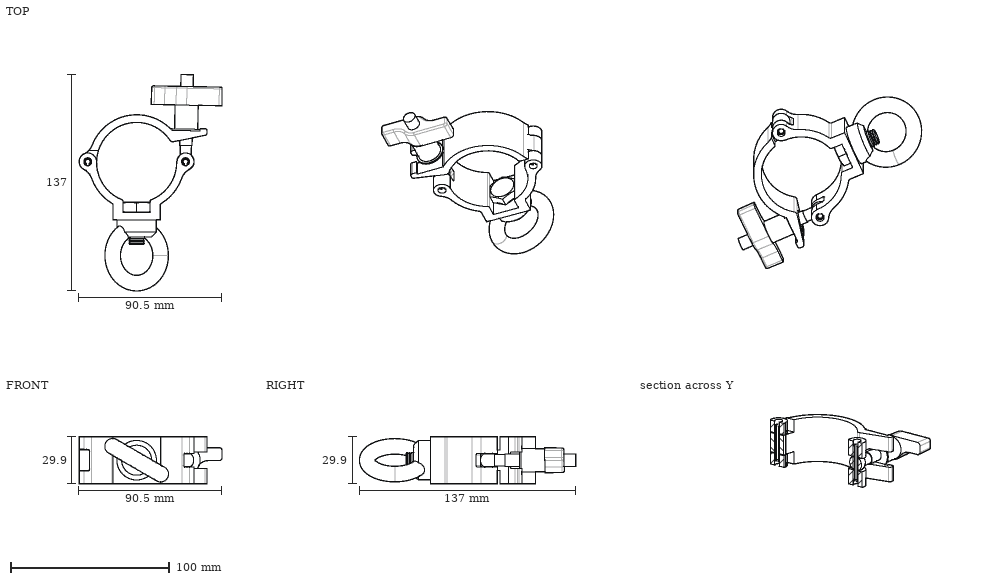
import cadquery as cq
import math


WIDTH = 29.9
BORE_Y = -0.5
BORE_R = 25.25
RING_R = 30.25
PIVOT_X = 30.9
EYE_R = 5.5
BLEND_R = 10.0
PIN_R = 2.5

BLOCK_HALF = WIDTH / 2
BLOCK_Y = -36.8
BLOCK_FILLET = 1.5
NOTCH_HALF = 8.5
NOTCH_FLOOR_Y = -32.1
NOTCH_FILLET = 1.2
SLOT_R = 8.0
SLOT_FILLET = 1.2
HINGE_SLOT_WIDTH = 13.6
LATCH_SLOT_WIDTH = 8.8

KNUCKLE_WIDTH = 13.2
KNUCKLE_TOP_Y = 7.1
TAIL_END_X = 44.6
TAIL_TOP_Y = 20.9
TAIL_END_HEIGHT = 4.05
TAIL_SLOPE = 11.3
TAIL_ROOT_FILLET = 2.2
TAIL_FILLET = 1.6
TAIL_SLOT_WIDTH = 10.3

SWING_TILT = 1.1
THREAD_R = 4.0
SHANK_R = 3.6
SHANK_END_Y = 10.3
SWING_BOLT_END_Y = 55.1
BALL_R = 5.2
BALL_WIDTH = 8.0
SEAT_Y = 19.6
WASHER_R = 8.9
WASHER_THICKNESS = 1.0
HUB_R = 7.4
WING_Y = 35.7
WING_HEIGHT = 11.9
WING_HALF_LENGTH = 22.5
WING_MID_R = 8.0
WING_EDGE_OFFSET = 0.3
WING_BLEND_R = 8.5
WING_CORNER_R = 2.0
WING_TOP_FILLET = 1.2
WING_DRAFT = 1.0

COLLAR_R = 12.5
COLLAR_LENGTH = 7.7
CONE_LENGTH = 3.0
LOOP_R = 17.5
LOOP_BAR_R = 5.0
LOOP_TILT = 30.0
BOLT_R = 5.0
BOLT_END_Y = -52.4
HEAD_TOP_Y = -25.5
HEAD_CHAMFER_DROP = 0.7
HEAD_FACE_R = 8.0
HEAD_FACE_HEIGHT = 0.4
THREAD_PITCH = 1.5
THREAD_DEPTH = 0.8

PIN_LENGTH = 24.0
PIN_WALL = 1.0
PIN_GAP = 1.6
PIN_CHAMFER = 0.4


def slab(width):
    """XY workplane placed so that extruding by width is centred on Z = 0."""
    return cq.Workplane("XY").workplane(offset=-width / 2)


def box(x0, x1, y0, y1, width):
    return slab(width).center((x0 + x1) / 2, (y0 + y1) / 2).rect(x1 - x0, y1 - y0).extrude(width)


def disc(x, y, radius, width):
    return slab(width).center(x, y).circle(radius).extrude(width)


def rod(x, y0, y1, radius):
    """Cylinder along Y at the given X."""
    return cq.Workplane("XZ", origin=(x, y0, 0)).circle(radius).extrude(y0 - y1)


def round_corner(body, x, y, radius):
    """Fillet the edge along Z that stands at the given point."""
    corner = cq.selectors.NearestToPointSelector((x, y, 0))
    return body.edges("|Z").edges(corner).fillet(radius)


def swing(body):
    """Tilt a latch part about the latch pin."""
    return body.rotate((PIVOT_X, 0, 0), (PIVOT_X, 0, 1), -SWING_TILT)


def boss_blend(x_side, y_side):
    """Web between a pin boss and the ring, with a hollow tangent to both on its outer side."""
    from_pivot = EYE_R + BLEND_R
    from_bore = RING_R + BLEND_R
    spacing = math.hypot(PIVOT_X, BORE_Y)
    along = (from_bore**2 - from_pivot**2 + spacing**2) / (2 * spacing)
    base_angle = math.atan2(-BORE_Y, PIVOT_X)
    angle = base_angle + y_side * math.acos(along / from_bore)
    cx = from_bore * math.cos(angle)
    cy = BORE_Y + from_bore * math.sin(angle)
    boss_point = (PIVOT_X + (cx - PIVOT_X) * EYE_R / from_pivot, cy * EYE_R / from_pivot)
    ring_point = (cx * RING_R / from_bore, BORE_Y + (cy - BORE_Y) * RING_R / from_bore)
    mid_x = (boss_point[0] + ring_point[0]) / 2 - cx
    mid_y = (boss_point[1] + ring_point[1]) / 2 - cy
    stretch = BLEND_R / math.hypot(mid_x, mid_y)
    hollow_point = (cx + mid_x * stretch, cy + mid_y * stretch)
    web = (
        slab(WIDTH)
        .moveTo(PIVOT_X, 0)
        .lineTo(*boss_point)
        .threePointArc(hollow_point, ring_point)
        .lineTo(BORE_R, 0)
        .close()
        .extrude(WIDTH)
    )
    return web if x_side > 0 else web.mirror("YZ")


def boss_slot(x, width):
    """Round slot about a pin, with rounded floor corners."""
    return disc(x, 0, SLOT_R, width).edges().fillet(SLOT_FILLET)


def make_lower_half():
    ring = disc(0, BORE_Y, RING_R, WIDTH).intersect(box(-RING_R, RING_R, -RING_R + 2 * BORE_Y, 0, WIDTH))
    block = box(-BLOCK_HALF, BLOCK_HALF, BLOCK_Y, BORE_Y, WIDTH)
    body = ring.union(block)
    corner_y = BORE_Y - math.sqrt(RING_R**2 - BLOCK_HALF**2)
    for side in (-1, 1):
        body = round_corner(body, side * BLOCK_HALF, corner_y, BLOCK_FILLET)
    for side in (-1, 1):
        body = body.union(disc(side * PIVOT_X, 0, EYE_R, WIDTH)).union(boss_blend(side, -1))
    body = body.cut(disc(0, BORE_Y, BORE_R, WIDTH))
    body = body.cut(box(-NOTCH_HALF, NOTCH_HALF, NOTCH_FLOOR_Y, BORE_Y, WIDTH))
    notch_top_y = BORE_Y - math.sqrt(BORE_R**2 - NOTCH_HALF**2)
    for side in (-1, 1):
        body = round_corner(body, side * NOTCH_HALF, notch_top_y, NOTCH_FILLET)
    body = body.cut(rod(0, BLOCK_Y, NOTCH_FLOOR_Y, BOLT_R))
    body = body.cut(boss_slot(-PIVOT_X, HINGE_SLOT_WIDTH)).cut(boss_slot(PIVOT_X, LATCH_SLOT_WIDTH))
    for side in (-1, 1):
        body = body.cut(disc(side * PIVOT_X, 0, PIN_R, WIDTH))
    return body


def make_upper_half():
    slope = math.radians(TAIL_SLOPE)
    tip_y = TAIL_TOP_Y - TAIL_END_HEIGHT
    along = TAIL_END_X * math.cos(slope) + (tip_y - BORE_Y) * math.sin(slope)
    offset = (tip_y - BORE_Y) * math.cos(slope) - TAIL_END_X * math.sin(slope)
    run = along - math.sqrt(BORE_R**2 - offset**2)
    corner_x = TAIL_END_X - run * math.cos(slope)
    corner_y = tip_y - run * math.sin(slope)
    root_x = math.sqrt(RING_R**2 - (TAIL_TOP_Y - BORE_Y) ** 2)

    body = (
        slab(WIDTH)
        .moveTo(corner_x, corner_y)
        .lineTo(TAIL_END_X, tip_y)
        .lineTo(TAIL_END_X, TAIL_TOP_Y)
        .lineTo(root_x, TAIL_TOP_Y)
        .threePointArc((0, BORE_Y + RING_R), (-RING_R, BORE_Y))
        .lineTo(-BORE_R, BORE_Y)
        .threePointArc((0, BORE_Y + BORE_R), (corner_x, corner_y))
        .close()
        .extrude(WIDTH)
    )
    body = body.edges("|Z and >X").fillet(TAIL_FILLET)
    body = round_corner(body, corner_x, corner_y, TAIL_ROOT_FILLET)
    body = body.cut(box(-RING_R, -BORE_R / 2, BORE_Y, 0, WIDTH))
    hinge = disc(-PIVOT_X, 0, EYE_R, WIDTH).union(boss_blend(-1, 1))
    body = body.union(hinge).cut(disc(0, BORE_Y, BORE_R, WIDTH))

    left = -PIVOT_X - 2 * EYE_R
    beside_knuckle = box(left, -BORE_R / 2, -2 * EYE_R, KNUCKLE_TOP_Y, WIDTH)
    beside_knuckle = beside_knuckle.cut(box(left, -BORE_R / 2, -2 * EYE_R, KNUCKLE_TOP_Y, KNUCKLE_WIDTH))
    body = body.cut(beside_knuckle).cut(disc(-PIVOT_X, 0, PIN_R, WIDTH))

    seat = box(PIVOT_X - WASHER_R, PIVOT_X + WASHER_R, SEAT_Y, WING_Y, 2 * WIDTH)
    slot = rod(PIVOT_X, 0, SEAT_Y, TAIL_SLOT_WIDTH / 2)
    slot = slot.union(box(PIVOT_X, PIVOT_X + TAIL_END_X, 0, WING_Y, TAIL_SLOT_WIDTH))
    return body.cut(swing(seat)).cut(swing(slot))


def make_swing_bolt():
    ball = cq.Workplane("XY").sphere(BALL_R).translate((PIVOT_X, 0, 0))
    ball = ball.intersect(disc(PIVOT_X, 0, 2 * BALL_R, BALL_WIDTH))
    body = rod(PIVOT_X, 0, SHANK_END_Y, SHANK_R).union(ball)
    body = body.union(rod(PIVOT_X, SHANK_END_Y, SWING_BOLT_END_Y, THREAD_R))
    return swing(body.cut(disc(PIVOT_X, 0, PIN_R, WIDTH)))


def make_washer():
    top = SEAT_Y + WASHER_THICKNESS
    washer = rod(PIVOT_X, SEAT_Y, top, WASHER_R).cut(rod(PIVOT_X, SEAT_Y, top, THREAD_R))
    return swing(washer)


def make_wing_nut():
    straight_x = math.sqrt((WING_MID_R + WING_BLEND_R) ** 2 - (WING_EDGE_OFFSET + WING_BLEND_R) ** 2)
    blend_z = -WING_EDGE_OFFSET - WING_BLEND_R
    share = WING_MID_R / (WING_MID_R + WING_BLEND_R)
    join = (straight_x * share, blend_z * share)
    blend_angle = (math.atan2(join[1] - blend_z, join[0] - straight_x) + math.pi / 2) / 2
    hollow = (
        straight_x + WING_BLEND_R * math.cos(blend_angle),
        blend_z + WING_BLEND_R * math.sin(blend_angle),
    )
    round_angle = (math.atan2(join[1], join[0]) - math.pi / 2) / 2
    round_mid = (WING_MID_R * math.cos(round_angle), WING_MID_R * math.sin(round_angle))
    bevel = WING_CORNER_R * (1 - math.sqrt(0.5))
    end = WING_HALF_LENGTH

    plate = cq.Workplane("XZ", origin=(PIVOT_X, WING_Y, 0)).moveTo(0, WING_MID_R)
    for turn in (1, -1):
        plate = (
            plate.lineTo(turn * (end - WING_CORNER_R), turn * WING_MID_R)
            .threePointArc(
                (turn * (end - bevel), turn * (WING_MID_R - bevel)),
                (turn * end, turn * (WING_MID_R - WING_CORNER_R)),
            )
            .lineTo(turn * end, turn * (WING_CORNER_R - WING_EDGE_OFFSET))
            .threePointArc(
                (turn * (end - bevel), turn * (bevel - WING_EDGE_OFFSET)),
                (turn * (end - WING_CORNER_R), -turn * WING_EDGE_OFFSET),
            )
            .lineTo(turn * straight_x, -turn * WING_EDGE_OFFSET)
            .threePointArc((turn * hollow[0], turn * hollow[1]), (turn * join[0], turn * join[1]))
            .threePointArc((turn * round_mid[0], turn * round_mid[1]), (0, -turn * WING_MID_R))
        )
    plate = plate.close().extrude(-WING_HEIGHT, taper=WING_DRAFT)
    plate = plate.faces(">Y").edges().fillet(WING_TOP_FILLET)

    base = SEAT_Y + WASHER_THICKNESS
    body = plate.union(rod(PIVOT_X, base, WING_Y, HUB_R))
    body = body.cut(rod(PIVOT_X, base, WING_Y + WING_HEIGHT, THREAD_R))
    return swing(body)


def make_lifting_eye():
    cone_y = BLOCK_Y - COLLAR_LENGTH
    collar = rod(0, cone_y - CONE_LENGTH, BLOCK_Y, COLLAR_R).faces("<Y").chamfer(CONE_LENGTH)
    loop_y = BLOCK_Y - LOOP_R - LOOP_BAR_R
    loop = cq.Workplane(cq.Solid.makeTorus(LOOP_R, LOOP_BAR_R, cq.Vector(0, loop_y, 0), cq.Vector(0, 0, 1)))
    loop = loop.rotate((0, 0, 0), (0, 1, 0), LOOP_TILT)
    return collar.union(loop).cut(rod(0, BOLT_END_Y, BLOCK_Y, BOLT_R))


def make_hex_bolt():
    head_base = NOTCH_FLOOR_Y + HEAD_FACE_HEIGHT
    head_height = HEAD_TOP_Y - head_base
    corner_r = 2 * NOTCH_HALF / math.sqrt(3)
    head = cq.Workplane("XZ", origin=(0, head_base, 0)).polygon(6, 2 * corner_r).extrude(-head_height)
    head = head.rotate((0, 0, 0), (0, 1, 0), 90)
    crown_r = NOTCH_HALF - HEAD_CHAMFER_DROP
    crown = (
        cq.Workplane("XY")
        .moveTo(0, head_base)
        .lineTo(corner_r, head_base)
        .lineTo(corner_r, HEAD_TOP_Y - HEAD_CHAMFER_DROP)
        .lineTo(crown_r, HEAD_TOP_Y)
        .lineTo(0, HEAD_TOP_Y)
        .close()
        .revolve(360, (0, 0, 0), (0, 1, 0))
    )
    body = head.intersect(crown).union(rod(0, NOTCH_FLOOR_Y, head_base, HEAD_FACE_R))
    shank = rod(0, BOLT_END_Y, NOTCH_FLOOR_Y, BOLT_R).faces("<Y").chamfer(THREAD_DEPTH)

    exposed = BLOCK_Y - COLLAR_LENGTH - CONE_LENGTH - BOLT_END_Y
    groove_half = THREAD_PITCH / 2
    for turn in range(int((exposed - THREAD_DEPTH) / THREAD_PITCH)):
        groove_y = BOLT_END_Y + THREAD_DEPTH + (turn + 0.5) * THREAD_PITCH
        groove = (
            cq.Workplane("XY")
            .moveTo(BOLT_R, groove_y - groove_half)
            .lineTo(BOLT_R - THREAD_DEPTH, groove_y)
            .lineTo(BOLT_R, groove_y + groove_half)
            .close()
            .revolve(360, (0, 0, 0), (0, 1, 0))
        )
        shank = shank.cut(groove)
    return body.union(shank)


def make_spring_pin(x):
    pin = disc(x, 0, PIN_R, PIN_LENGTH).faces("<Z or >Z").chamfer(PIN_CHAMFER)
    pin = pin.cut(disc(x, 0, PIN_R - PIN_WALL, PIN_LENGTH))
    return pin.cut(box(x - PIN_GAP / 2, x + PIN_GAP / 2, -PIN_R, 0, PIN_LENGTH))


lower_half = make_lower_half()
upper_half = make_upper_half()
swing_bolt = make_swing_bolt()
washer = make_washer()
wing_nut = make_wing_nut()
lifting_eye = make_lifting_eye()
hex_bolt = make_hex_bolt()
spring_pins = [make_spring_pin(side * PIVOT_X) for side in (-1, 1)]

result = cq.Compound.makeCompound(
    [
        lower_half.val(),
        upper_half.val(),
        swing_bolt.val(),
        washer.val(),
        wing_nut.val(),
        lifting_eye.val(),
        hex_bolt.val(),
        *[pin.val() for pin in spring_pins],
    ]
)